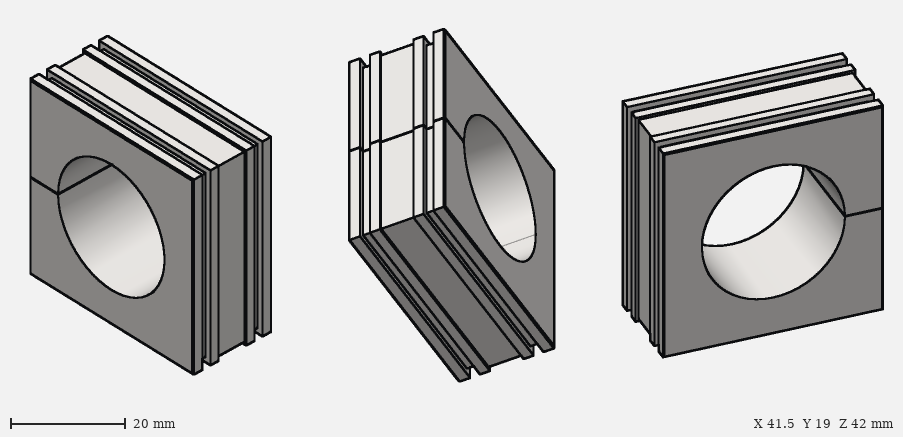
import cadquery as cq

width = 41.5
depth = 19.0
height = 42.0
face_chamfer = 0.2

bore_diameter = 27.0
slit_gap = 0.13

flange_thickness = 2.25
groove_width = 1.95
groove_depth = 1.2
rib_thickness = 1.97
middle_depth = 0.5
middle_width = depth - 2 * (flange_thickness + groove_width + rib_thickness)


def perimeter_channel(center_y, channel_width, channel_depth):
    """Rectangular ring that cuts a channel around all four outer sides."""
    outer = cq.Workplane("XY").box(width, channel_width, height)
    core = cq.Workplane("XY").box(
        width - 2 * channel_depth, channel_width, height - 2 * channel_depth
    )
    return outer.cut(core).translate((0, center_y, 0))


body = cq.Workplane("XY").box(width, depth, height)
body = body.faces("<Y or >Y").edges().chamfer(face_chamfer)

groove_offset = depth / 2 - flange_thickness - groove_width / 2
for side in (-1, 1):
    body = body.cut(perimeter_channel(side * groove_offset, groove_width, groove_depth))
body = body.cut(perimeter_channel(0, middle_width, middle_depth))

bore = cq.Workplane("XZ").circle(bore_diameter / 2).extrude(depth / 2, both=True)
body = body.cut(bore)

slit = cq.Workplane("XY").box(width / 2, depth, slit_gap).translate((-width / 4, 0, 0))
result = body.cut(slit)